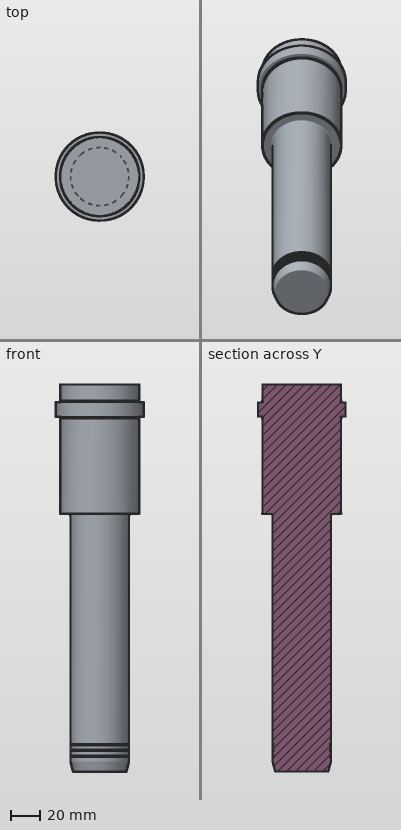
import cadquery as cq
import math

total_length = 263.0
head_length = 88.0
head_bottom = total_length - head_length

head_diameter = 54.0
collar_diameter = 60.0
pin_diameter = 40.0

collar_depth = 12.0
collar_height = 10.0
relief_width = 1.0
relief_depth = 0.5

edge_fillet = 0.5
head_chamfer = 0.5
root_fillet = 1.0

taper_length = 7.0
taper_angle = math.radians(15.0)

groove_count = 3
groove_width = 1.0
groove_depth = 0.5
groove_pitch = 4.0
first_groove_bottom = 10.0


def cylinder(diameter, bottom, height):
    """Solid cylinder on the Z axis."""
    return cq.Workplane("XY").workplane(offset=bottom).circle(diameter / 2).extrude(height)


def spin(profile):
    """Close a profile in the XZ plane and revolve it around the Z axis."""
    return profile.close().revolve(360, (0, 0, 0), (0, 1, 0))


def oil_groove(bottom):
    """Square-bottomed ring to cut from the pin."""
    outer = cylinder(pin_diameter, bottom, groove_width)
    return outer.cut(cylinder(pin_diameter - 2 * groove_depth, bottom, groove_width))


def relief_groove(bottom):
    """V-shaped ring to cut from the head."""
    radius = head_diameter / 2
    profile = (
        cq.Workplane("XZ")
        .moveTo(radius, bottom)
        .lineTo(radius - relief_depth, bottom + relief_width / 2)
        .lineTo(radius, bottom + relief_width)
    )
    return spin(profile)


def make_pin():
    """Straight pin with a rounded, tapered tip, oil grooves and a fillet flaring out to the head."""
    radius = pin_diameter / 2
    tip_radius = radius - taper_length * math.tan(taper_angle)
    arc_inset = root_fillet * (1 - math.sqrt(0.5))
    profile = (
        cq.Workplane("XZ")
        .moveTo(0, 0)
        .lineTo(tip_radius, 0)
        .lineTo(radius, taper_length)
        .lineTo(radius, head_bottom - root_fillet)
        .threePointArc(
            (radius + arc_inset, head_bottom - arc_inset),
            (radius + root_fillet, head_bottom),
        )
        .lineTo(0, head_bottom)
    )
    pin = spin(profile).faces("<Z").edges().fillet(edge_fillet)
    for index in range(groove_count):
        pin = pin.cut(oil_groove(first_groove_bottom + index * groove_pitch))
    return pin


def make_collar(bottom):
    """Collar ring, solid through the head, with rounded outer edges."""
    collar = cylinder(collar_diameter, bottom, collar_height)
    return collar.faces("<Z or >Z").edges().fillet(edge_fillet)


def make_head():
    """Head with its collar and the relief grooves beside the collar."""
    collar_top = total_length - collar_depth
    collar_bottom = collar_top - collar_height
    head = cylinder(head_diameter, head_bottom, head_length)
    head = head.faces("<Z").edges().chamfer(head_chamfer)
    head = head.faces(">Z").edges().fillet(edge_fillet)
    for bottom in (collar_top, collar_bottom - relief_width):
        head = head.cut(relief_groove(bottom))
    return head.union(make_collar(collar_bottom))


result = make_head().union(make_pin())